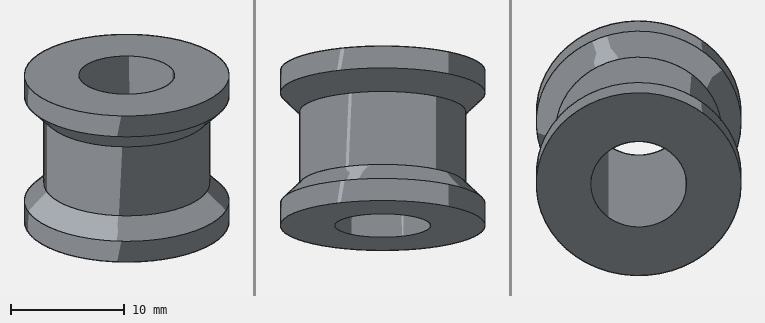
import cadquery as cq

flange_diameter = 18.0
neck_diameter = 14.6
bore_diameter = 8.4
height = 14.0
rim_thickness = 2.0

flange_radius = flange_diameter / 2
neck_radius = neck_diameter / 2
bore_radius = bore_diameter / 2
half_height = height / 2

cone_height = flange_radius - neck_radius
rim_z = half_height - rim_thickness
neck_z = rim_z - cone_height

section = [
    (bore_radius, -half_height),
    (flange_radius, -half_height),
    (flange_radius, -rim_z),
    (neck_radius, -neck_z),
    (neck_radius, neck_z),
    (flange_radius, rim_z),
    (flange_radius, half_height),
    (bore_radius, half_height),
]

axis_start = (0, 0)
axis_end = (0, 1)
result = cq.Workplane("XZ").polyline(section).close().revolve(360, axis_start, axis_end)